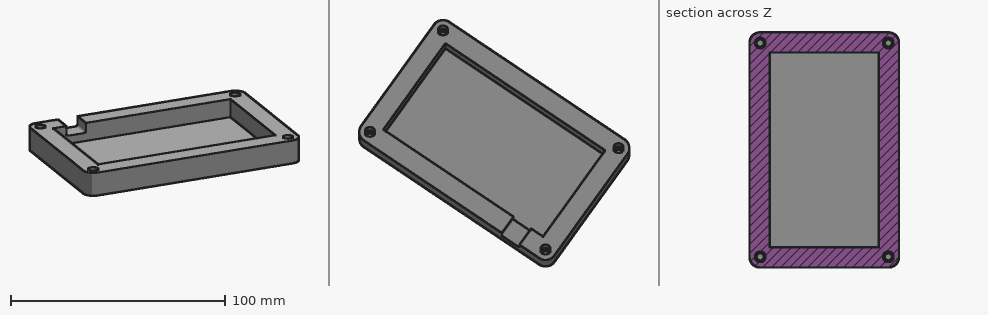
import cadquery as cq

length = 110.0
width = 70.0
height = 11.5
corner_radius = 5.1

rim = 9.6
floor_thickness = 2.5
pocket_depth = height - floor_thickness

hole_inset = corner_radius
bore_diameter = 4.7
pilot_diameter = 3.4
bore_depth = 6.0
hole_depth = 9.0

notch_width = 10.0
notch_depth = 5.0
notch_center_y = -33.7
notch_fillet = 1.1


def make_body():
    body = cq.Workplane("XY").box(width, length, height, centered=(True, True, False))
    return body.edges("|Z").fillet(corner_radius)


def make_pocket():
    pocket = cq.Workplane("XY").box(
        width - 2 * rim, length - 2 * rim, pocket_depth, centered=(True, True, False)
    )
    return pocket.translate((0, 0, floor_thickness))


def make_notch():
    notch = cq.Workplane("XY").box(rim, notch_width, notch_depth, centered=(False, True, False))
    notch = notch.edges("|X and <Z").fillet(notch_fillet)
    return notch.translate((-width / 2, notch_center_y, height - notch_depth))


def drill_corner_holes(body):
    return (
        body.faces(">Z")
        .workplane(origin=(0, 0, height))
        .rect(width - 2 * hole_inset, length - 2 * hole_inset, forConstruction=True)
        .vertices()
        .cboreHole(pilot_diameter, bore_diameter, bore_depth, hole_depth)
    )


result = drill_corner_holes(make_body()).cut(make_pocket()).cut(make_notch())